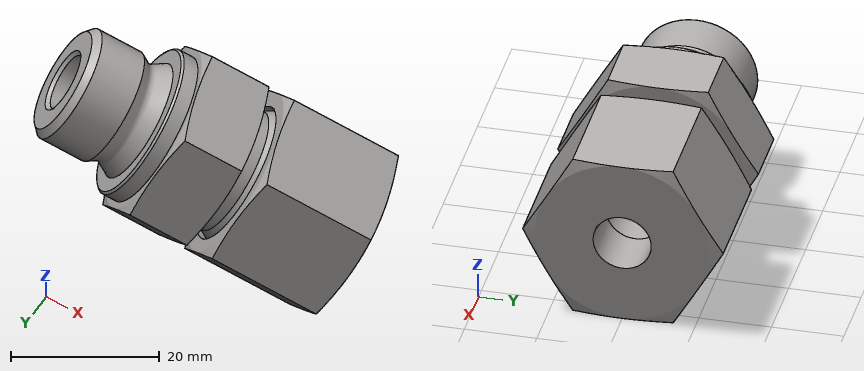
import cadquery as cq
import math


total_length = 45.0
thread_chamfer = 1.0
thread_end = 7.7
collar_start = 12.0
collar_length = 2.48
hex_length = 10.0
hex_gap = 3.0
relief_length = 2.5
spigot_depth = 9.9

hex_start = collar_start + collar_length
hex_end = hex_start + hex_length
nut_start = hex_end + hex_gap
nut_length = total_length - nut_start
relief_end = hex_end + relief_length
spigot_end = nut_start + spigot_depth

across_flats = 24.0
across_corners = across_flats / math.cos(math.radians(30))
thread_radius = 8.32
bore_radius = 4.0
bore_chamfer = 0.5
collar_radius = 11.0
collar_chamfer = 0.3
neck_radius = 8.95
neck_fillet = 1.0
spigot_radius = 10.0
envelope_margin = 0.45
hex_chamfer_angle = 15
groove_angle = 30
groove_fillet = 1.1
groove_flank_length = 1.35
relief_angle = 30

flank_slope = math.tan(math.radians(groove_angle))
fillet_half_width = groove_fillet * math.sin(math.radians(groove_angle))
fillet_rise = groove_fillet * (1 - math.cos(math.radians(groove_angle)))
groove_flank_end = thread_end + groove_flank_length
groove_middle = groove_flank_end + fillet_half_width
groove_right = groove_middle + fillet_half_width
fillet_edge_radius = thread_radius - groove_flank_length * flank_slope
groove_radius = fillet_edge_radius - fillet_rise
cone_radius = fillet_edge_radius + (collar_start - groove_right) * flank_slope

relief_cone_length = (spigot_radius - neck_radius) / math.tan(math.radians(relief_angle))
relief_cone_end = relief_end + relief_cone_length


def revolve_about_x(profile):
    """Turn a closed profile of the XY plane once around the X axis."""
    return profile.close().revolve(360, (0, 0, 0), (1, 0, 0))


def make_hexagon(start, length):
    """Hexagonal prism along X, corners on the Y axis, both ends cut by a chamfer cone."""
    end = start + length
    prism = (
        cq.Workplane("YZ", origin=(start, 0, 0))
        .polygon(6, across_corners)
        .extrude(length)
    )
    flat_radius = across_flats / 2
    tip_radius = across_corners / 2 + envelope_margin
    cone_depth = (tip_radius - flat_radius) * math.tan(math.radians(hex_chamfer_angle))
    envelope = revolve_about_x(
        cq.Workplane("XY")
        .moveTo(start, 0)
        .lineTo(start, flat_radius)
        .lineTo(start + cone_depth, tip_radius)
        .lineTo(end - cone_depth, tip_radius)
        .lineTo(end, flat_radius)
        .lineTo(end, 0)
    )
    return prism.intersect(envelope)


def make_through_bore():
    """Straight bore through the whole coupling."""
    return cq.Workplane("YZ").circle(bore_radius).extrude(total_length)


def make_stud_end():
    """Threaded end, undercut groove and sealing collar."""
    return revolve_about_x(
        cq.Workplane("XY")
        .moveTo(0, 0)
        .lineTo(0, thread_radius - thread_chamfer)
        .lineTo(thread_chamfer, thread_radius)
        .lineTo(thread_end, thread_radius)
        .lineTo(groove_flank_end, fillet_edge_radius)
        .threePointArc((groove_middle, groove_radius), (groove_right, fillet_edge_radius))
        .lineTo(collar_start, cone_radius)
        .lineTo(collar_start, collar_radius - collar_chamfer)
        .lineTo(collar_start + collar_chamfer, collar_radius)
        .lineTo(hex_start, collar_radius)
        .lineTo(hex_start, 0)
    )


def make_spigot():
    """Neck behind the hexagon and the spigot that fills the nut's recess."""
    fillet_end = hex_end + neck_fillet
    fillet_top = neck_radius + neck_fillet
    fillet_reach = neck_fillet * math.sqrt(0.5)
    return revolve_about_x(
        cq.Workplane("XY")
        .moveTo(hex_end, 0)
        .lineTo(hex_end, fillet_top)
        .threePointArc(
            (fillet_end - fillet_reach, fillet_top - fillet_reach),
            (fillet_end, neck_radius),
        )
        .lineTo(relief_end, neck_radius)
        .lineTo(relief_cone_end, spigot_radius)
        .lineTo(spigot_end, spigot_radius)
        .lineTo(spigot_end, 0)
    )


def make_bore_chamfer():
    """Cone that breaks the edge of the bore at the threaded end."""
    return revolve_about_x(
        cq.Workplane("XY")
        .moveTo(0, 0)
        .lineTo(0, bore_radius + bore_chamfer)
        .lineTo(bore_chamfer, bore_radius)
        .lineTo(bore_chamfer, 0)
    )


def make_stud_body():
    """Stud end, hexagon and spigot in one piece, bored through."""
    solid = make_stud_end().union(make_hexagon(hex_start, hex_length)).union(make_spigot())
    return solid.cut(make_through_bore()).cut(make_bore_chamfer())


def make_union_nut():
    """Hexagonal nut with a recess for the spigot and the bore running on to its far end."""
    recess = cq.Workplane("YZ", origin=(nut_start, 0, 0)).circle(spigot_radius).extrude(spigot_depth)
    return make_hexagon(nut_start, nut_length).cut(recess).cut(make_through_bore())


stud_body = make_stud_body()
union_nut = make_union_nut()

result = cq.Compound.makeCompound([stud_body.val(), union_nut.val()])